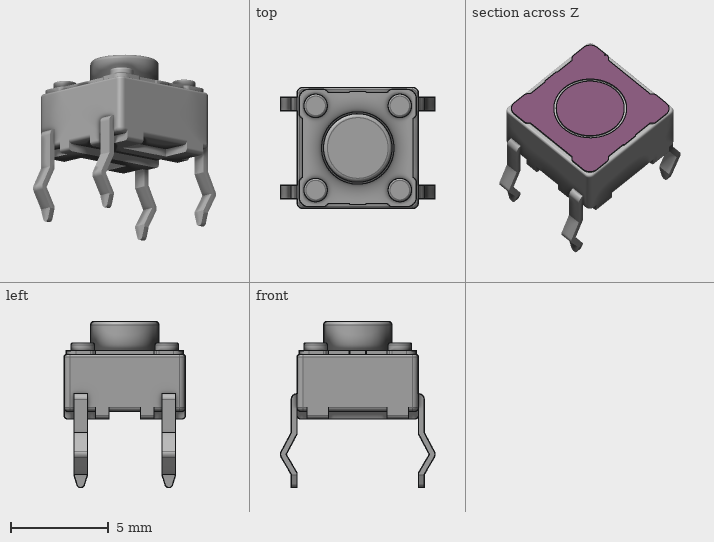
import cadquery as cq
import math


housing_width = 6.2
housing_half = housing_width / 2
housing_bottom = 0.38
housing_top = 3.3
housing_corner_radius = 0.3
housing_top_fillet = 0.12
housing_bottom_fillet = 0.22

foot_fillet = 0.2
foot_inner_x = 1.5
foot_outer_x = 2.6
rib_inner_y = 0.8
rib_outer_y = 1.5
foot_root = housing_bottom + housing_bottom_fillet

plate_half = 3.0
plate_top = 3.5
plate_thickness = plate_top - housing_top
plate_corner_radius = 0.5
notch_half_length = 1.5
notch_depth = 0.17
notch_mouth_radius = 0.2
notch_end_angle = math.radians(45)
notch_step_half_length = 0.4
notch_step_height = 0.05

button_radius = 1.75
button_top = 5.0
button_fillet = 0.2
button_hole_radius = 1.85

post_radius = 0.6
post_offset = 2.15
post_top = 3.9
post_fillet = 0.1

lead_thickness = 0.3
lead_width = 0.7
lead_offset_y = 2.25
lead_shoulder_z = 1.0
lead_root_length = 0.3
lead_inner_x = housing_half
lead_outer_x = lead_inner_x + lead_thickness
overall_length = 7.9
lead_reach = overall_length / 2
kink_top_z = -0.76
kink_peak_z = -1.8
kink_bottom_z = -2.74
kink_peak_x = lead_reach - lead_thickness
lead_bottom = -3.5

tip_start_z = -2.85
tip_nose_radius = 0.2


def cylinder(radius, bottom, top):
    return cq.Workplane("XY").workplane(offset=bottom).circle(radius).extrude(top - bottom)


def block(x_range, y_range, z_range):
    size = [high - low for low, high in (x_range, y_range, z_range)]
    return cq.Workplane("XY").box(*size, centered=False).translate((x_range[0], y_range[0], z_range[0]))


def make_housing():
    housing = cq.Workplane("XY").workplane(offset=housing_bottom)
    housing = housing.rect(housing_width, housing_width).extrude(housing_top - housing_bottom)
    housing = housing.edges("|Z").fillet(housing_corner_radius)
    housing = housing.faces(">Z").edges().fillet(housing_top_fillet)
    return housing.faces("<Z").edges().fillet(housing_bottom_fillet)


def make_rib():
    """Rib across the full width in X, on the +Y half."""
    rib = block((-housing_half, housing_half), (rib_inner_y, rib_outer_y), (0, foot_root))
    return rib.edges("|Y and <Z").fillet(foot_fillet)


def make_foot():
    """Foot running from the rib to the +Y face of the housing, on the +X half."""
    foot = block((foot_inner_x, foot_outer_x), (rib_outer_y, housing_half), (0, foot_root))
    return foot.edges("|X and <Z and >Y").fillet(foot_fillet)


def make_notch(has_step):
    """Cutter for the notch in the +Y edge of the plate; its ends slope at 45 degrees."""
    floor = plate_half - notch_depth
    mouth_half = notch_half_length + notch_depth
    tangent_length = notch_mouth_radius * math.tan(notch_end_angle / 2)
    arc_start = (mouth_half + tangent_length, plate_half)
    slope_shift = tangent_length * math.cos(notch_end_angle)
    arc_end = (mouth_half - slope_shift, plate_half - slope_shift)

    notch = cq.Workplane("XY").workplane(offset=housing_top)
    notch = notch.moveTo(-arc_end[0], arc_end[1]).lineTo(-notch_half_length, floor)
    if has_step:
        step_foot = notch_step_half_length + notch_step_height
        step_y = floor + notch_step_height
        notch = notch.lineTo(-step_foot, floor).lineTo(-notch_step_half_length, step_y)
        notch = notch.lineTo(notch_step_half_length, step_y).lineTo(step_foot, floor)
    notch = notch.lineTo(notch_half_length, floor).lineTo(*arc_end)
    notch = notch.radiusArc(arc_start, notch_mouth_radius)
    notch = notch.lineTo(-arc_start[0], plate_half)
    notch = notch.radiusArc((-arc_end[0], arc_end[1]), notch_mouth_radius)
    return notch.close().extrude(plate_thickness)


def make_plate():
    plate = cq.Workplane("XY").workplane(offset=housing_top)
    plate = plate.rect(2 * plate_half, 2 * plate_half).extrude(plate_thickness)
    plate = plate.edges("|Z").fillet(plate_corner_radius)
    for quarter_turn in range(4):
        is_y_side = quarter_turn % 2 == 0
        notch = make_notch(has_step=is_y_side)
        plate = plate.cut(notch.rotate((0, 0, 0), (0, 0, 1), 90 * quarter_turn))
    return plate.cut(cylinder(button_hole_radius, housing_top, plate_top))


def make_button():
    button = cylinder(button_radius, housing_top, button_top)
    return button.faces(">Z").edges().fillet(button_fillet)


def make_post():
    post = cylinder(post_radius, plate_top, post_top)
    post = post.faces(">Z").edges().fillet(post_fillet)
    return post.translate((post_offset, post_offset, 0))


def make_lead():
    """Lead at +X, +Y: bent strip cut to a tapered, round-nosed tip."""
    kink_depth = kink_peak_x - lead_inner_x
    upper_lean = math.atan2(kink_depth, kink_top_z - kink_peak_z)
    lower_lean = math.atan2(kink_depth, kink_peak_z - kink_bottom_z)
    outer_kink_top_z = kink_top_z + lead_thickness * math.tan(upper_lean / 2)
    outer_kink_bottom_z = kink_bottom_z - lead_thickness * math.tan(lower_lean / 2)
    bend_start_x = kink_peak_x + lead_thickness * math.cos(lower_lean)
    bend_start_z = kink_peak_z - lead_thickness * math.sin(lower_lean)
    bend_end_x = kink_peak_x + lead_thickness * math.cos(upper_lean)
    bend_end_z = kink_peak_z + lead_thickness * math.sin(upper_lean)
    root_x = lead_inner_x - lead_root_length
    lead_top = lead_shoulder_z + lead_thickness

    strip = (
        cq.Workplane("XZ", origin=(0, lead_offset_y, 0))
        .moveTo(root_x, lead_shoulder_z)
        .lineTo(lead_inner_x, lead_shoulder_z)
        .lineTo(lead_inner_x, kink_top_z)
        .lineTo(kink_peak_x, kink_peak_z)
        .lineTo(lead_inner_x, kink_bottom_z)
        .lineTo(lead_inner_x, lead_bottom)
        .lineTo(lead_outer_x, lead_bottom)
        .lineTo(lead_outer_x, outer_kink_bottom_z)
        .lineTo(bend_start_x, bend_start_z)
        .threePointArc((lead_reach, kink_peak_z), (bend_end_x, bend_end_z))
        .lineTo(lead_outer_x, outer_kink_top_z)
        .lineTo(lead_outer_x, lead_shoulder_z)
        .radiusArc((lead_inner_x, lead_top), -lead_thickness)
        .lineTo(root_x, lead_top)
        .close()
        .extrude(lead_width / 2, both=True)
    )

    half_width = lead_width / 2
    nose_z = lead_bottom + tip_nose_radius
    shoulder_height = tip_start_z - nose_z
    shoulder_distance = math.hypot(half_width, shoulder_height)
    shoulder_angle = math.atan2(shoulder_height, half_width)
    tangent_angle = shoulder_angle - math.acos(tip_nose_radius / shoulder_distance)
    tangent_y = tip_nose_radius * math.cos(tangent_angle)
    tangent_z = nose_z + tip_nose_radius * math.sin(tangent_angle)
    outline = (
        cq.Workplane("YZ", origin=(0, lead_offset_y, 0))
        .moveTo(-half_width, lead_top)
        .lineTo(-half_width, tip_start_z)
        .lineTo(-tangent_y, tangent_z)
        .threePointArc((0, lead_bottom), (tangent_y, tangent_z))
        .lineTo(half_width, tip_start_z)
        .lineTo(half_width, lead_top)
        .close()
        .extrude(lead_reach)
    )
    return strip.intersect(outline)


def in_four_corners(feature):
    mirrored = feature.mirror("YZ")
    return [feature, mirrored, feature.mirror("XZ"), mirrored.mirror("XZ")]


result = make_housing()
rib = make_rib()
for side_rib in (rib, rib.mirror("XZ")):
    result = result.union(side_rib)
for feature in (make_foot(), make_lead()):
    for copy in in_four_corners(feature):
        result = result.union(copy)
result = result.union(make_plate()).union(make_button())
for post in in_four_corners(make_post()):
    result = result.union(post)